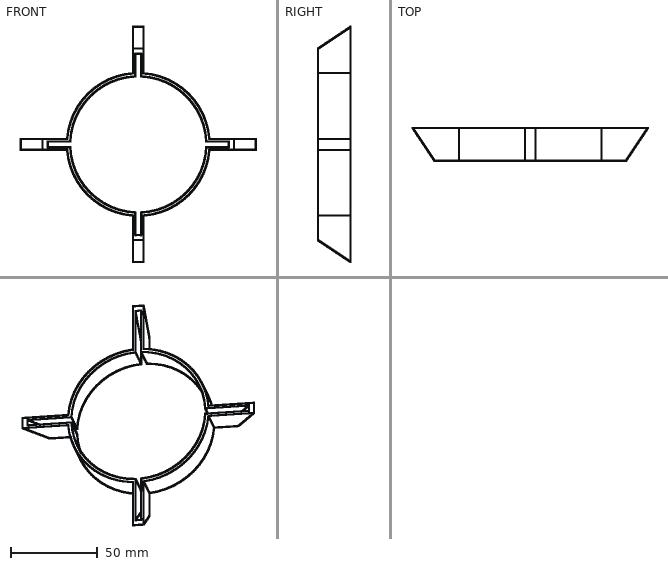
import cadquery as cq

depth = 19.05
ring_outer_radius = 41.25
ring_wall = 2.0
fin_width = 6.35
fin_rear_reach = 67.985
fin_taper = 12.7
slot_width = 3.25
tip_wall = 3.05
fin_count = 4

fin_front_reach = fin_rear_reach - fin_taper
ring_inner_radius = ring_outer_radius - ring_wall
root_radius = ring_inner_radius - ring_wall


def radial_wedge(front_reach, rear_reach, width):
    """Flat body along +X, its sloped end running from the -Y to the +Y face."""
    return (
        cq.Workplane("XY")
        .moveTo(root_radius, 0)
        .lineTo(front_reach, 0)
        .lineTo(rear_reach, depth)
        .lineTo(root_radius, depth)
        .close()
        .extrude(width / 2, both=True)
    )


def around_ring(body):
    """Return one copy of the body for each fin position about the Y axis."""
    step = 360 / fin_count
    return [body.rotate((0, 0, 0), (0, 1, 0), i * step) for i in range(fin_count)]


def cylinder(radius):
    """Solid cylinder about the Y axis, from Y = 0 to Y = depth."""
    return cq.Workplane("XZ").circle(radius).extrude(-depth)


fin = radial_wedge(fin_front_reach, fin_rear_reach, fin_width)
slot = radial_wedge(fin_front_reach - tip_wall, fin_rear_reach - tip_wall, slot_width)

result = cylinder(ring_outer_radius)
for placed_fin in around_ring(fin):
    result = result.union(placed_fin)
result = result.cut(cylinder(ring_inner_radius))
for placed_slot in around_ring(slot):
    result = result.cut(placed_slot)